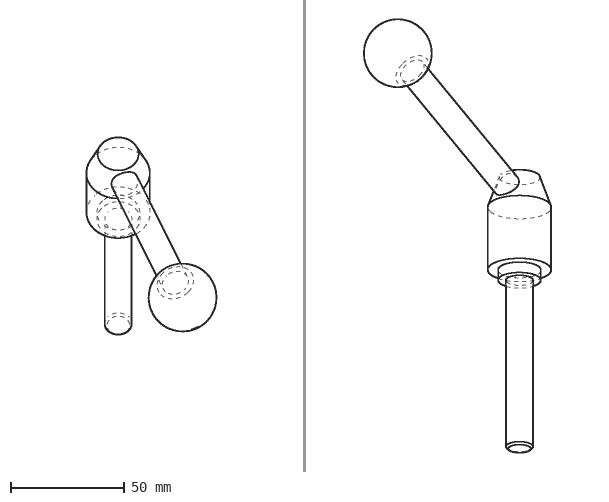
import cadquery as cq
import math

total_height = 169.0
stud_diameter = 12.0
stud_length = 79.7
stud_chamfer = 1.0
collar_diameter = 19.0
collar_height = 4.9
hub_diameter = 28.0
hub_height = 29.7
cone_top_diameter = 18.0
cone_height = 14.2

ball_diameter = 30.0
ball_reach = 100.7
ball_flat_offset = 12.5
arm_diameter = 12.0
arm_angle = 20.0
arm_length = 101.4

collar_bottom = stud_length
hub_bottom = collar_bottom + collar_height
cone_bottom = hub_bottom + hub_height
ball_radius = ball_diameter / 2
ball_height = total_height - ball_radius


def cylinder(diameter, bottom, height):
    return cq.Workplane("XY").workplane(offset=bottom).circle(diameter / 2).extrude(height)


def make_hub():
    """Stud, collar, cylindrical hub and tapered top on the Z axis."""
    stud = cylinder(stud_diameter, 0, stud_length).faces("<Z").chamfer(stud_chamfer)
    collar = cylinder(collar_diameter, collar_bottom, collar_height)
    body = cylinder(hub_diameter, hub_bottom, hub_height)
    cone = (
        cq.Workplane("XY").workplane(offset=cone_bottom).circle(hub_diameter / 2)
        .workplane(offset=cone_height).circle(cone_top_diameter / 2).loft(ruled=True)
    )
    return stud.union(collar).union(body).union(cone)


def make_handle():
    """Inclined round arm ending in a ball with a flat on its hub side."""
    angle = math.radians(arm_angle)
    toward_hub = cq.Vector(-math.cos(angle), 0, -math.sin(angle))
    axis_plane = cq.Plane(
        origin=(ball_reach, 0, ball_height), xDir=(0, 1, 0), normal=toward_hub.toTuple()
    )
    arm = cq.Workplane(axis_plane).circle(arm_diameter / 2).extrude(arm_length)
    beyond_flat = (
        cq.Workplane(axis_plane).workplane(offset=ball_flat_offset)
        .circle(ball_radius).extrude(ball_radius)
    )
    ball = cq.Workplane("XY").sphere(ball_radius).translate((ball_reach, 0, ball_height))
    return ball.cut(beyond_flat).union(arm)


result = make_hub().union(make_handle())